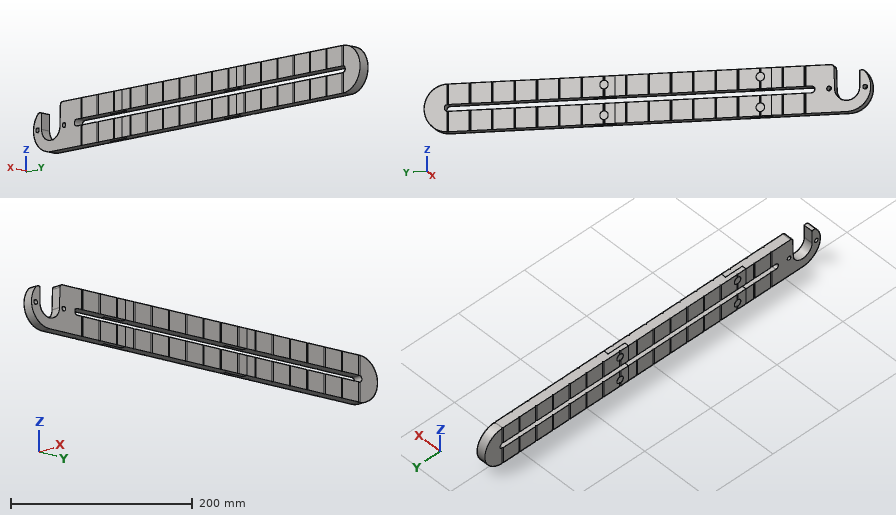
import cadquery as cq
import math

LENGTH = 508.0
HEIGHT = 54.0
THICKNESS = 12.5
END_RADIUS = HEIGHT / 2

ROUND_END_Y = LENGTH / 2 - END_RADIUS
HOOK_Y = -ROUND_END_Y

MOUTH_RADIUS = 14.0
MOUTH_FLARE = 0.75
CORNER_RADIUS = 3.5
TIP_DROP = 7.5
TIP_RISE = 0.75
TIP_CREST_Z = HEIGHT / 2 - TIP_DROP
TIP_CORNER_Z = TIP_CREST_Z - TIP_RISE
EYE_DIAMETER = 5.0
EYE_OFFSET = (MOUTH_RADIUS + END_RADIUS) / 2

SLOT_WIDTH = 7.5
SLOT_END_Y = -186.5

GROOVE_PITCH = 25.5
GROOVE_COUNT = 17
GROOVE_WIDTH = 1.95
GROOVE_DEPTH = GROOVE_WIDTH / 2

JOINT_LENGTH = GROOVE_PITCH
LAP_X = -0.5
UPPER_JOINT_Y = ROUND_END_Y - 7 * GROOVE_PITCH
LOWER_JOINT_Y = ROUND_END_Y - 14 * GROOVE_PITCH
PEG_DIAMETER = 9.5
PEG_Z = 17.5


def through_bar(outline):
    """Extrude a YZ outline through the whole thickness."""
    return outline.extrude(THICKNESS / 2, both=True)


def box_between(x0, x1, y0, y1):
    """Box over the full height between two X and two Y positions."""
    return (cq.Workplane("XY")
            .box(x1 - x0, y1 - y0, HEIGHT, centered=(False, False, True))
            .translate((x0, y0, 0)))


def make_blank():
    """Plain bar with a round end and an open hook."""
    half = HEIGHT / 2
    outer_tip_y = HOOK_Y - math.sqrt(END_RADIUS**2 - TIP_CORNER_Z**2)
    inner_tip_y = HOOK_Y - MOUTH_RADIUS
    tip_middle_y = (outer_tip_y + inner_tip_y) / 2
    wall_foot_y = HOOK_Y + MOUTH_RADIUS
    wall_top_y = wall_foot_y + MOUTH_FLARE
    blank = through_bar(
        cq.Workplane("YZ")
        .moveTo(wall_top_y, half)
        .lineTo(ROUND_END_Y, half)
        .threePointArc((LENGTH / 2, 0), (ROUND_END_Y, -half))
        .lineTo(HOOK_Y, -half)
        .threePointArc((HOOK_Y - END_RADIUS, 0), (outer_tip_y, TIP_CORNER_Z))
        .threePointArc((tip_middle_y, TIP_CREST_Z), (inner_tip_y, TIP_CORNER_Z))
        .lineTo(inner_tip_y, 0)
        .threePointArc((HOOK_Y, -MOUTH_RADIUS), (wall_foot_y, 0))
        .close()
    )
    mouth_corner = cq.selectors.NearestToPointSelector((0, wall_top_y, half))
    return blank.edges(mouth_corner).fillet(CORNER_RADIUS)


def cut_slot(bar):
    """Long slot that starts at the centre of the round end."""
    slot_length = ROUND_END_Y - SLOT_END_Y + SLOT_WIDTH
    slot_middle_y = (ROUND_END_Y + SLOT_END_Y) / 2
    slot = cq.Workplane("YZ").center(slot_middle_y, 0).slot2D(slot_length, SLOT_WIDTH)
    return bar.cut(through_bar(slot))


def cut_eyes(bar):
    """Small through holes on both sides of the hook mouth."""
    eyes = (cq.Workplane("YZ")
            .pushPoints([(HOOK_Y - EYE_OFFSET, 0), (HOOK_Y + EYE_OFFSET, 0)])
            .circle(EYE_DIAMETER / 2))
    return bar.cut(through_bar(eyes))


def cut_grooves(bar):
    """Upright V grooves on the -X and +X faces."""
    half_width = GROOVE_WIDTH / 2
    for i in range(GROOVE_COUNT):
        groove_y = ROUND_END_Y - i * GROOVE_PITCH
        for side in (-1, 1):
            face_x = side * THICKNESS / 2
            bottom_x = face_x - side * GROOVE_DEPTH
            groove = (cq.Workplane("XY")
                      .polyline([(face_x, groove_y - half_width),
                                 (bottom_x, groove_y),
                                 (face_x, groove_y + half_width)])
                      .close()
                      .extrude(HEIGHT / 2, both=True))
            bar = bar.cut(groove)
    return bar


def joint_pegs(joint_y):
    """Two pegs that reach from the lap plane to the -X face."""
    return (cq.Workplane("YZ", origin=(LAP_X, 0, 0))
            .pushPoints([(joint_y, PEG_Z), (joint_y, -PEG_Z)])
            .circle(PEG_DIAMETER / 2)
            .extrude(-THICKNESS / 2 - LAP_X))


def beyond_joint(joint_y):
    """Space on the +Y side of a half-lap joint, less the pegs that enter its -X lap."""
    face_x = THICKNESS / 2
    half_joint = JOINT_LENGTH / 2
    minus_x_side = box_between(-face_x, LAP_X, joint_y - half_joint, LENGTH / 2)
    plus_x_side = box_between(LAP_X, face_x, joint_y + half_joint, LENGTH / 2)
    return minus_x_side.union(plus_x_side).cut(joint_pegs(joint_y))


def rail_space(side):
    """Space above (side = 1) or below (side = -1) the middle of the slot."""
    return (cq.Workplane("XY")
            .box(THICKNESS, LENGTH, HEIGHT / 2)
            .translate((0, 0, side * HEIGHT / 4)))


def make_round_end_section(bar):
    """Round end with its laps, which have holes for the rail pegs."""
    return bar.intersect(beyond_joint(UPPER_JOINT_Y))


def make_middle_rail(bar, side):
    """One of two straight rails, which the slot keeps apart along their whole length."""
    middle = bar.intersect(beyond_joint(LOWER_JOINT_Y)).cut(beyond_joint(UPPER_JOINT_Y))
    middle = middle.union(joint_pegs(UPPER_JOINT_Y))
    return middle.intersect(rail_space(side))


def make_hook_section(bar):
    """Hook end with pegs that enter the holes of the rails."""
    return bar.cut(beyond_joint(LOWER_JOINT_Y)).union(joint_pegs(LOWER_JOINT_Y))


bar = cut_grooves(cut_eyes(cut_slot(make_blank())))

round_end_section = make_round_end_section(bar)
middle_rails = [make_middle_rail(bar, side) for side in (1, -1)]
hook_section = make_hook_section(bar)

result = cq.Compound.makeCompound([
    round_end_section.solids().val(),
    *[rail.solids().val() for rail in middle_rails],
    hook_section.solids().val(),
])